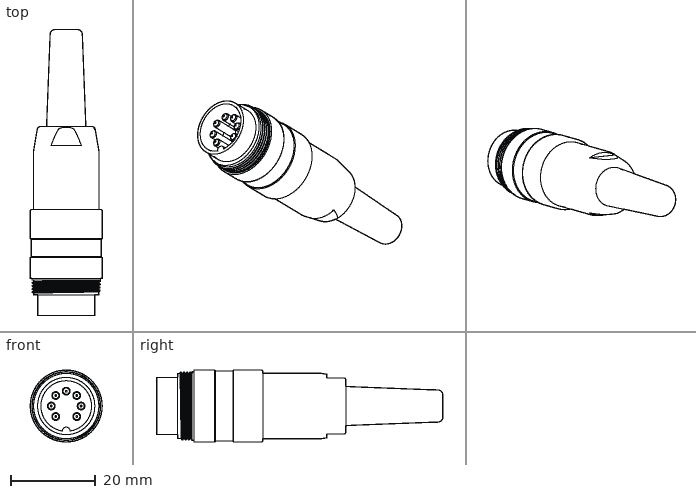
import cadquery as cq
import math

TOTAL_LENGTH = 67.4

SHELL_DIAMETER = 13.5
CAVITY_DIAMETER = 11.9
CAVITY_DEPTH = 8.1

THREAD_START = 4.9
THREAD_END = 8.35
THREAD_DIAMETER = 16.05
THREAD_ROOT_DIAMETER = 15.4
THREAD_PITCH = 0.75
THREAD_FIRST_CREST = 5.5
THREAD_START_ANGLE = 180.0
THREAD_CREST_WIDTH = 0.15
THREAD_BASE_WIDTH = 0.6
THREAD_OVERLAP = 0.1

NECK_DIAMETER = 16.2

COLLAR_START = 8.75
COLLAR_END = 25.0
COLLAR_DIAMETER = 17.0
WAIST_START = 13.7
WAIST_END = 18.1
WAIST_DIAMETER = 16.6
COLLAR_END_ROUNDING = 0.35

BODY_DIAMETER = 15.5
TAPER_START = 38.6
BODY_END = 44.55
BODY_END_DIAMETER = 13.5
BODY_END_ROUNDING = 0.8

FLAT_START = 40.1
FLAT_HEIGHT = 6.6

SLEEVE_BASE_DIAMETER = 9.3
SLEEVE_TIP_DIAMETER = 7.55
SLEEVE_TIP_ROUNDING = 1.2

PIN_DIAMETER = 1.8
PIN_SETBACK = 1.2
PIN_EMBEDMENT = 0.35
PIN_TAPER_LENGTH = 0.3
TIP_BASE_DIAMETER = 1.5
TIP_LENGTH = 0.4
TIP_FACE_DIAMETER = 0.4
PIN_CIRCLE_RADIUS = 3.5
PIN_COUNT = 7
PIN_SPACING = 45.0
FIRST_PIN_ANGLE = -45.0

KEY_DIAMETER = 1.8
KEY_CENTRE_RADIUS = 5.85


def revolve_about_axis(outline):
    """Close an outline in the XY plane and revolve it about the Y axis."""
    return outline.close().revolve(360, (0, 0, 0), (0, 1, 0))


def cylinder(diameter, start, end, x=0.0, z=0.0):
    """Cylinder along Y between two Y positions."""
    axis_plane = cq.Plane(origin=(x, start, z), xDir=(1, 0, 0), normal=(0, 1, 0))
    return cq.Workplane(axis_plane).circle(diameter / 2).extrude(end - start)


def make_outer_body():
    """Revolve the stepped outer profile about the Y axis."""
    collar_radius = COLLAR_DIAMETER / 2
    waist_radius = WAIST_DIAMETER / 2
    waist_slope = collar_radius - waist_radius
    rounding_start = COLLAR_END - COLLAR_END_ROUNDING
    rounding_centre_radius = collar_radius - COLLAR_END_ROUNDING
    mid_arc_offset = COLLAR_END_ROUNDING / math.sqrt(2)
    front_profile = [
        (0, 0),
        (SHELL_DIAMETER / 2, 0),
        (SHELL_DIAMETER / 2, THREAD_START),
        (THREAD_ROOT_DIAMETER / 2, THREAD_START),
        (THREAD_ROOT_DIAMETER / 2, THREAD_END),
        (NECK_DIAMETER / 2, THREAD_END),
        (NECK_DIAMETER / 2, COLLAR_START),
        (collar_radius, COLLAR_START),
        (collar_radius, WAIST_START),
        (waist_radius, WAIST_START + waist_slope),
        (waist_radius, WAIST_END - waist_slope),
        (collar_radius, WAIST_END),
        (collar_radius, rounding_start),
    ]
    outline = cq.Workplane("XY").polyline(front_profile).threePointArc(
        (rounding_centre_radius + mid_arc_offset, rounding_start + mid_arc_offset),
        (rounding_centre_radius, COLLAR_END),
    )
    outline = (
        outline
        .lineTo(BODY_DIAMETER / 2, COLLAR_END)
        .lineTo(BODY_DIAMETER / 2, TAPER_START)
        .lineTo(BODY_END_DIAMETER / 2, BODY_END)
        .lineTo(0, BODY_END)
    )
    body = revolve_about_axis(outline)
    return body.faces(">Y").edges().fillet(BODY_END_ROUNDING)


def cut_flats(body):
    """Cut the upper and lower flats on the tapered end."""
    depth = BODY_DIAMETER / 2 - FLAT_HEIGHT
    length = BODY_END - FLAT_START
    for side in (1, -1):
        cutter = cq.Workplane("XY").box(BODY_DIAMETER, length, depth)
        centre_y = FLAT_START + length / 2
        centre_z = side * (FLAT_HEIGHT + depth / 2)
        body = body.cut(cutter.translate((0, centre_y, centre_z)))
    return body


def make_sleeve():
    """Tapered cable sleeve with a rounded tip."""
    profile = [
        (0, BODY_END),
        (SLEEVE_BASE_DIAMETER / 2, BODY_END),
        (SLEEVE_TIP_DIAMETER / 2, TOTAL_LENGTH),
        (0, TOTAL_LENGTH),
    ]
    sleeve = revolve_about_axis(cq.Workplane("XY").polyline(profile))
    return sleeve.faces(">Y").edges().fillet(SLEEVE_TIP_ROUNDING)


def make_thread():
    """Right-handed helical ridge whose base is sunk into the thread root."""
    root_radius = THREAD_ROOT_DIAMETER / 2
    base_radius = root_radius - THREAD_OVERLAP
    crest_radius = THREAD_DIAMETER / 2
    helix = cq.Wire.makeHelix(THREAD_PITCH, THREAD_END - THREAD_FIRST_CREST, root_radius)
    section = [
        (base_radius, -THREAD_BASE_WIDTH / 2),
        (crest_radius, -THREAD_CREST_WIDTH / 2),
        (crest_radius, THREAD_CREST_WIDTH / 2),
        (base_radius, THREAD_BASE_WIDTH / 2),
    ]
    ridge = cq.Workplane("XZ").polyline(section).close().sweep(helix, isFrenet=True)
    ridge = ridge.rotate((0, 0, 0), (0, 0, 1), THREAD_START_ANGLE)
    return ridge.rotate((0, 0, 0), (1, 0, 0), -90).translate((0, THREAD_FIRST_CREST, 0))


def make_key():
    """Rounded key along the bottom of the cavity wall."""
    key = cylinder(KEY_DIAMETER, 0, CAVITY_DEPTH, z=-KEY_CENTRE_RADIUS)
    return key.intersect(cylinder(SHELL_DIAMETER, 0, CAVITY_DEPTH))


def make_pin(angle):
    """Contact pin with a two-stage tapered tip, at an angle about the Y axis."""
    tip_end = PIN_SETBACK + TIP_LENGTH
    taper_end = tip_end + PIN_TAPER_LENGTH
    profile = [
        (0, PIN_SETBACK),
        (TIP_FACE_DIAMETER / 2, PIN_SETBACK),
        (TIP_BASE_DIAMETER / 2, tip_end),
        (PIN_DIAMETER / 2, taper_end),
        (PIN_DIAMETER / 2, CAVITY_DEPTH + PIN_EMBEDMENT),
        (0, CAVITY_DEPTH + PIN_EMBEDMENT),
    ]
    pin = revolve_about_axis(cq.Workplane("XY").polyline(profile))
    x = PIN_CIRCLE_RADIUS * math.cos(math.radians(angle))
    z = PIN_CIRCLE_RADIUS * math.sin(math.radians(angle))
    return pin.translate((x, 0, z))


result = cut_flats(make_outer_body()).union(make_sleeve()).union(make_thread())
result = result.cut(cylinder(CAVITY_DIAMETER, 0, CAVITY_DEPTH))
result = result.union(make_key())
for index in range(PIN_COUNT):
    result = result.union(make_pin(FIRST_PIN_ANGLE + index * PIN_SPACING))